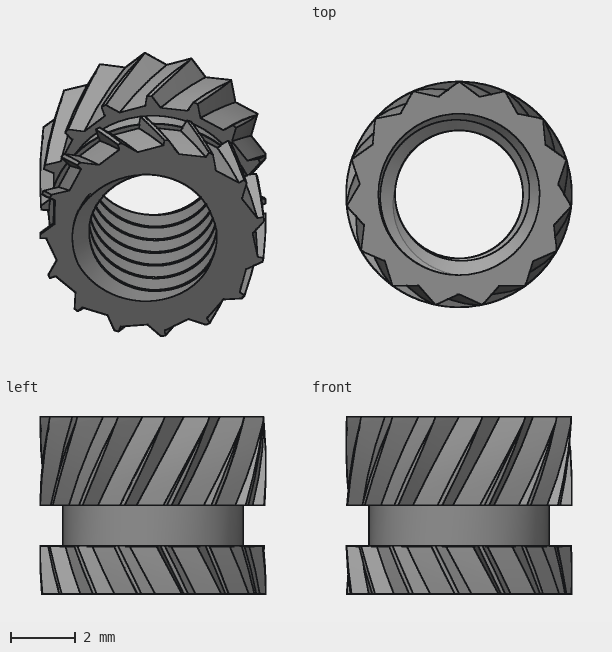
import cadquery as cq
import math


TOTAL_HEIGHT = 5.5
OUTER_RADIUS = 7.0 / 2
NECK_RADIUS = 5.6 / 2
LOWER_RING_TOP = 1.5
UPPER_RING_BOTTOM = 2.75
RIM_RADIUS = 3.23
RIM_THICKNESS = 0.03

NOTCH_COUNT = 15
NOTCH_PITCH_ANGLE = 360 / NOTCH_COUNT
NOTCH_ROOT_RADIUS = 3.09
NOTCH_LEAD = 36
NOTCH_START_ANGLE = -90
LOWER_NOTCH_START = -1.67
NOTCH_OVERRUN = 0.1
NOTCH_HALF_WIDTH = 0.76
TIP_ANGLE = math.radians(NOTCH_PITCH_ANGLE / 2)
NOTCH_FLANK_SLOPE = (OUTER_RADIUS * math.cos(TIP_ANGLE) - NOTCH_ROOT_RADIUS) / (
    OUTER_RADIUS * math.sin(TIP_ANGLE)
)
NOTCH_SHOULDER_RADIUS = NOTCH_ROOT_RADIUS + NOTCH_HALF_WIDTH * NOTCH_FLANK_SLOPE
NOTCH_OUTER_RADIUS = OUTER_RADIUS + 0.6

BORE_RADIUS = 3.96 / 2
THREAD_MAJOR_RADIUS = 5.0 / 2
THREAD_PITCH = 0.8
THREAD_FLANK_ANGLE = 30
THREAD_ROOT_WIDTH = THREAD_PITCH / 8
THREAD_TOP_CENTRE = TOTAL_HEIGHT + THREAD_ROOT_WIDTH / 2
THREAD_START_ANGLE = -90
THREAD_TURNS = 9
TURNS_BELOW_TOP = 8
BORE_SEAM_ANGLE = 180
THREAD_OVERLAP = 0.04


def notch_cutter(height, lefthand):
    """One knurl notch rising from z = 0; its section is carried along without turning."""
    helix = cq.Wire.makeHelix(NOTCH_LEAD, height, NOTCH_ROOT_RADIUS, lefthand=lefthand)
    section = [
        (NOTCH_ROOT_RADIUS, 0),
        (NOTCH_SHOULDER_RADIUS, NOTCH_HALF_WIDTH),
        (NOTCH_OUTER_RADIUS, NOTCH_HALF_WIDTH),
        (NOTCH_OUTER_RADIUS, -NOTCH_HALF_WIDTH),
        (NOTCH_SHOULDER_RADIUS, -NOTCH_HALF_WIDTH),
    ]
    return (
        cq.Workplane("XY")
        .polyline(section)
        .close()
        .sweep(cq.Workplane(helix), normal=cq.Vector(0, 0, 1))
    )


def knurled_ring(bottom, top, cutter):
    """Solid disc between two heights with the notch cutter repeated around it."""
    ring = cq.Workplane("XY").workplane(offset=bottom).circle(OUTER_RADIUS).extrude(top - bottom)
    for index in range(NOTCH_COUNT):
        angle = NOTCH_START_ANGLE + index * NOTCH_PITCH_ANGLE
        ring = ring.cut(cutter.rotate((0, 0, 0), (0, 0, 1), angle))
    return ring


def upper_ring():
    """Ring whose notches start at the top face and run downwards."""
    height = TOTAL_HEIGHT - UPPER_RING_BOTTOM + NOTCH_OVERRUN
    cutter = notch_cutter(height, lefthand=False)
    cutter = cutter.rotate((0, 0, 0), (1, 0, 0), 180).translate((0, 0, TOTAL_HEIGHT))
    return knurled_ring(UPPER_RING_BOTTOM, TOTAL_HEIGHT, cutter)


def lower_ring():
    """Ring whose notches run upwards and lean against those of the upper ring.

    A thin round rim closes the notch bottoms at its top face.
    """
    height = LOWER_RING_TOP - LOWER_NOTCH_START + NOTCH_OVERRUN
    cutter = notch_cutter(height, lefthand=True).translate((0, 0, LOWER_NOTCH_START))
    rim = (
        cq.Workplane("XY")
        .workplane(offset=LOWER_RING_TOP - RIM_THICKNESS)
        .circle(RIM_RADIUS)
        .extrude(RIM_THICKNESS)
    )
    return knurled_ring(0, LOWER_RING_TOP, cutter).union(rim)


def bore_cutter():
    """Through bore at the thread's minor diameter."""
    bore = cq.Workplane("XY").circle(BORE_RADIUS).extrude(TOTAL_HEIGHT)
    return bore.rotate((0, 0, 0), (0, 0, 1), BORE_SEAM_ANGLE)


def countersink_cutter():
    """45 degree countersink opening to the thread's major diameter at the top face."""
    depth = THREAD_MAJOR_RADIUS - BORE_RADIUS
    base_centre = cq.Vector(0, 0, TOTAL_HEIGHT - depth)
    cone = cq.Solid.makeCone(BORE_RADIUS, THREAD_MAJOR_RADIUS, depth, pnt=base_centre)
    return cq.Workplane(cone).rotate((0, 0, 0), (0, 0, 1), BORE_SEAM_ANGLE)


def thread_cutter():
    """Right-handed helical groove with a trapezoidal section."""
    inner_radius = BORE_RADIUS - THREAD_OVERLAP
    root_half = THREAD_ROOT_WIDTH / 2
    slope = math.tan(math.radians(THREAD_FLANK_ANGLE))
    inner_half = root_half + (THREAD_MAJOR_RADIUS - inner_radius) * slope
    section = [
        (inner_radius, -inner_half),
        (THREAD_MAJOR_RADIUS, -root_half),
        (THREAD_MAJOR_RADIUS, root_half),
        (inner_radius, inner_half),
    ]
    helix = cq.Wire.makeHelix(THREAD_PITCH, THREAD_TURNS * THREAD_PITCH, BORE_RADIUS)
    groove = cq.Workplane("XZ").polyline(section).close().sweep(cq.Workplane(helix), isFrenet=True)
    start_height = THREAD_TOP_CENTRE - TURNS_BELOW_TOP * THREAD_PITCH
    return groove.rotate((0, 0, 0), (0, 0, 1), THREAD_START_ANGLE).translate((0, 0, start_height))


core = cq.Workplane("XY").circle(NECK_RADIUS).extrude(TOTAL_HEIGHT)
body = core.union(upper_ring()).union(lower_ring())
result = body.cut(bore_cutter()).cut(thread_cutter()).cut(countersink_cutter())